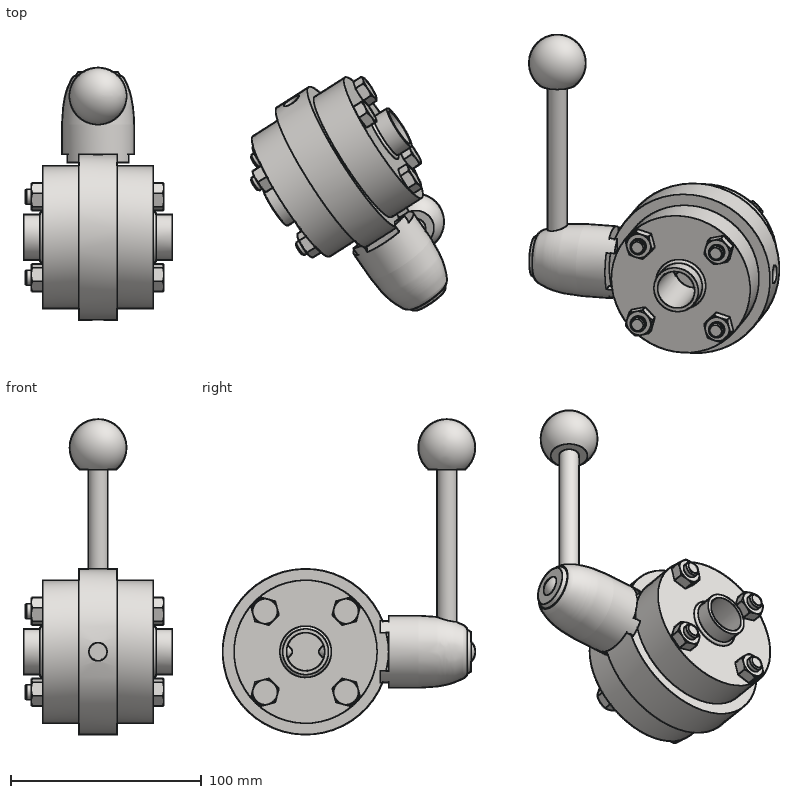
import cadquery as cq
import math


ring_d = 87.0
ring_width = 20.0
flange_d = 75.0
flange_span = 58.0
tube_d = 24.0
bore_d = 20.0
tube_span = 78.0
tube_root_fillet = 1.5
stem_d = 9.5

bolt_count = 4
bolt_circle_d = 60.0
bolt_d = 8.0
bolt_tip_chamfer = 0.8
bolt_projection = 9.2
hex_across_flats = 13.0
hex_corner_d = hex_across_flats / math.cos(math.radians(30))
hex_bevel_angle = 30.0
nut_height = 6.0
head_height = 5.5

disc_thickness = 4.0
cone_tip_y = 6.9
cone_slope = 0.78
stem_low_end = 30.0
stem_high_end = 60.0

hub_d = 38.0
hub_base_y = ring_d / 2
hub_barrel_end_y = 59.2
hub_waist_y = 73.2
hub_waist_r = 17.5
hub_shoulder_y = 82.4
hub_shoulder_r = 14.2
hub_top_y = 84.6
hub_edge_r = 12.3
cap_base_r = 11.8
cap_top_r = 10.4
cap_top_y = 86.7
dome_base_r = 5.3
dome_height = 2.3
dome_radius = (dome_base_r**2 + dome_height**2) / (2 * dome_height)
lug_length = 4.4

lever_y = 74.0
lever_d = 10.46
ball_d = 30.0
ball_z = 107.0
ball_height = 26.5


def x_cylinder(diameter, x_start, x_end):
    """Cylinder on the flow axis."""
    return cq.Workplane("YZ", origin=(x_start, 0, 0)).circle(diameter / 2).extrude(x_end - x_start)


def y_cylinder(diameter, y_start, y_end):
    """Cylinder on the stem axis."""
    plane = cq.Plane(origin=(0, y_start, 0), xDir=(1, 0, 0), normal=(0, 1, 0))
    return cq.Workplane(plane).circle(diameter / 2).extrude(y_end - y_start)


def hexagon(height):
    """Hexagon along +X from the origin, its corners bevelled at the outer end."""
    prism = cq.Workplane("YZ").polygon(6, hex_corner_d).extrude(height)
    bevel_width = (hex_corner_d - hex_across_flats) / 2
    bevel_height = bevel_width * math.tan(math.radians(hex_bevel_angle))
    envelope = (
        cq.Workplane("YZ").circle(hex_corner_d / 2).extrude(height)
        .faces(">X").chamfer(bevel_height, bevel_width)
    )
    return prism.intersect(envelope)


def bolt_ends():
    """Hex head beyond the +X flange, nut and bolt tip beyond the -X flange, on the bolt's own axis."""
    flange_face = flange_span / 2
    head = hexagon(head_height).translate((flange_face, 0, 0))
    nut = hexagon(nut_height).rotate((0, 0, 0), (0, 0, 1), 180).translate((-flange_face, 0, 0))
    tip = x_cylinder(bolt_d, -flange_face - bolt_projection, -flange_face)
    tip = tip.faces("<X").chamfer(bolt_tip_chamfer)
    return head.union(nut).union(tip)


def make_body():
    """Centre ring, two flanges with weld-on tubes, and the four bolts that clamp them."""
    flange_face = flange_span / 2
    body = x_cylinder(ring_d, -ring_width / 2, ring_width / 2)
    body = body.union(x_cylinder(flange_d, -flange_face, flange_face))
    for side in (-1, 1):
        tube = x_cylinder(tube_d, 0, side * tube_span / 2)
        root = (
            cq.Workplane("XY")
            .moveTo(side * flange_face, 0)
            .lineTo(side * flange_face, tube_d / 2 + tube_root_fillet)
            .radiusArc((side * (flange_face + tube_root_fillet), tube_d / 2), side * tube_root_fillet)
            .lineTo(side * (flange_face + tube_root_fillet), 0)
            .close()
            .revolve(360, (0, 0, 0), (1, 0, 0))
        )
        body = body.union(tube).union(root)
    for index in range(bolt_count):
        bolt = bolt_ends().translate((0, 0, bolt_circle_d / 2))
        angle = 45 + index * 360 / bolt_count
        body = body.union(bolt.rotate((0, 0, 0), (1, 0, 0), angle))
    body = body.cut(x_cylinder(bore_d, -tube_span / 2, tube_span / 2))
    return body.cut(y_cylinder(stem_d, -ring_d / 2, ring_d / 2))


def stem_half(side, end_y):
    """Stem to one side of the disc, with a cone that narrows into the disc."""
    cone_tip_r = disc_thickness / 2
    cone_base_y = cone_tip_y + (stem_d / 2 - cone_tip_r) / cone_slope
    return (
        cq.Workplane("XY")
        .moveTo(0, side * cone_tip_y)
        .lineTo(cone_tip_r, side * cone_tip_y)
        .lineTo(stem_d / 2, side * cone_base_y)
        .lineTo(stem_d / 2, side * end_y)
        .lineTo(0, side * end_y)
        .close()
        .revolve(360, (0, 0, 0), (0, 1, 0))
    )


def make_disc():
    """Closing disc with its stem."""
    stem = stem_half(-1, stem_low_end).union(stem_half(1, stem_high_end))
    disc = x_cylinder(bore_d, -disc_thickness / 2, disc_thickness / 2)
    return stem.union(disc)


def make_hub():
    """Turned hub with a capped end and four lugs that straddle the ring."""
    hub = (
        cq.Workplane("XY")
        .moveTo(0, hub_base_y - lug_length)
        .lineTo(hub_d / 2, hub_base_y - lug_length)
        .lineTo(hub_d / 2, hub_barrel_end_y)
        .tangentArcPoint((hub_waist_r, hub_waist_y), relative=False)
        .tangentArcPoint((hub_shoulder_r, hub_shoulder_y), relative=False)
        .tangentArcPoint((hub_edge_r, hub_top_y), relative=False)
        .lineTo(cap_base_r, hub_top_y)
        .lineTo(cap_top_r, cap_top_y)
        .lineTo(dome_base_r, cap_top_y)
        .radiusArc((0, cap_top_y + dome_height), -dome_radius)
        .close()
        .revolve(360, (0, 0, 0), (0, 1, 0))
    )
    slot_y = hub_base_y - lug_length / 2
    for slot_size in ((hub_d, lug_length, ring_width), (ring_width, lug_length, hub_d)):
        hub = hub.cut(cq.Workplane("XY").box(*slot_size).translate((0, slot_y, 0)))
    return hub


def make_handle():
    """Hub, lever rod and ball knob with a flat underside, with a socket for the stem."""
    flat_z = ball_z + ball_d / 2 - ball_height
    lever = cq.Workplane("XY", origin=(0, lever_y, 0)).circle(lever_d / 2).extrude(ball_z)
    below_flat = cq.Workplane("XY").box(ball_d, ball_d, ball_d).translate((0, lever_y, flat_z - ball_d / 2))
    ball = cq.Workplane("XY", origin=(0, lever_y, ball_z)).sphere(ball_d / 2).cut(below_flat)
    handle = make_hub().union(lever).union(ball)
    return handle.cut(y_cylinder(stem_d, hub_base_y, stem_high_end))


body = make_body()
disc = make_disc()
handle = make_handle()

result = cq.Compound.makeCompound([solid_body.solids().val() for solid_body in (body, disc, handle)])